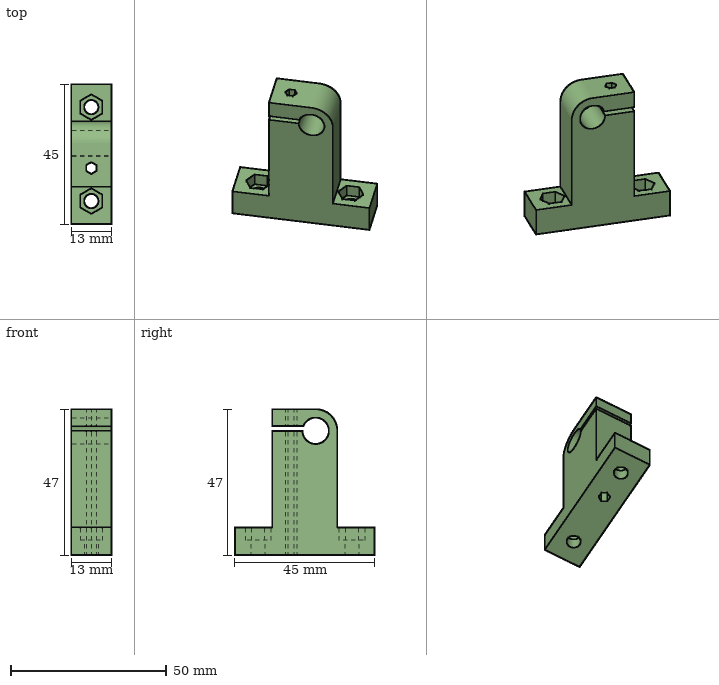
import cadquery as cq

width = 13.0
base_length = 45.0
base_height = 9.0
total_height = 47.0

column_length = 21.0
corner_radius = 7.0
bore_diameter = 8.4
slot_height = 1.5

screw_diameter = 4.5
screw_spacing = 30.2
nut_corners = 8.22
nut_floor_height = 5.0
clamp_hole_corners = 3.7
clamp_hole_edge = 6.0

column_end = column_length / 2
bore_y = column_end - corner_radius
bore_z = total_height - corner_radius
clamp_hole_y = clamp_hole_edge - column_end


def box(length, height, y, z):
    """Full-width block with its middle at y and its underside at z."""
    return (
        cq.Workplane("XY", origin=(0, y, z))
        .box(width, length, height, centered=(True, True, False))
    )


def hexagonal_prism(corners, height, y, z):
    """Upright hexagonal prism with two corners pointing along Y."""
    return (
        cq.Workplane("XY", origin=(0, y, z))
        .transformed(rotate=(0, 0, 90))
        .polygon(6, corners)
        .extrude(height)
    )


column = box(column_length, total_height, 0, 0).edges(">Y and >Z").fillet(corner_radius)
result = box(base_length, base_height, 0, 0).union(column)

bore = (
    cq.Workplane("YZ", origin=(0, bore_y, bore_z))
    .circle(bore_diameter / 2)
    .extrude(width / 2, both=True)
)
result = result.cut(bore)

slot_length = bore_y + column_end
slot_middle = (bore_y - column_end) / 2
result = result.cut(box(slot_length, slot_height, slot_middle, bore_z))

result = result.cut(hexagonal_prism(clamp_hole_corners, total_height, clamp_hole_y, 0))

for screw_y in (-screw_spacing / 2, screw_spacing / 2):
    screw_hole = (
        cq.Workplane("XY", origin=(0, screw_y, 0))
        .circle(screw_diameter / 2)
        .extrude(base_height)
    )
    pocket_depth = base_height - nut_floor_height
    nut_pocket = hexagonal_prism(nut_corners, pocket_depth, screw_y, nut_floor_height)
    result = result.cut(screw_hole).cut(nut_pocket)